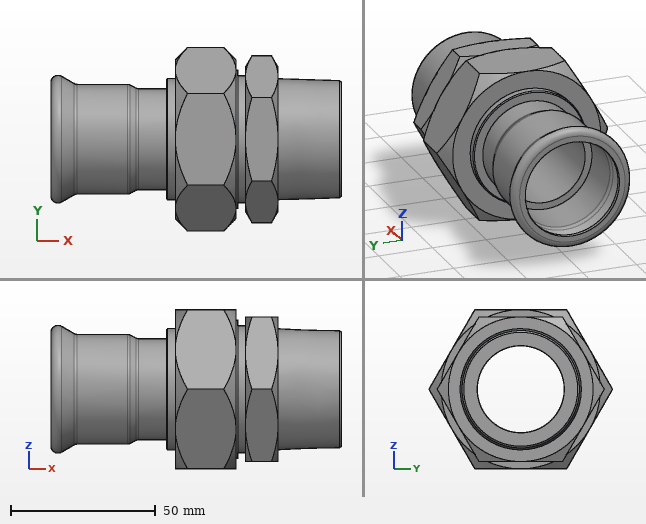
import cadquery as cq
import math


collar_start = 40.0
nut_start = 43.0
nut_length = 21.0
nut_end = nut_start + nut_length
seat_end = 64.6
hex_start = 67.25
hex_length = 11.25
hex_end = hex_start + hex_length
total_length = 100.5

socket_bore = 35.0
wall = 1.5
socket_outer = socket_bore + 2 * wall
socket_depth = 26.0
bead_outer = 44.2
bead_radius = 2.5
bend_radius = 2.0
cone_angle = math.radians(30)
reducer_start = 26.45
reducer_angle = math.radians(27)

bore = 30.0
tube_outer = 35.0
collar_outer = 42.0
collar_chamfer = 0.4
seat_outer = 47.8
neck_outer = 44.0
fitting_hex_flats = 50.0
fitting_hex_chamfer_angle = math.radians(30)

taper = 1 / 16
male_outer = 41.9
male_chamfer = 0.8
male_chamfer_depth = 0.6

nut_flats = 55.0
nut_chamfer_angle = math.radians(45)
nut_lip = 4.0

toward_mouth = -math.pi / 2
toward_axis = math.pi


def arc_point(center, radius, angle):
    """Point on a circle in the X-radius plane; the angle is measured from the outward radial, toward +X."""
    return (center[0] + radius * math.sin(angle), center[1] + radius * math.cos(angle))


def revolve_about_x(profile):
    return profile.close().revolve(360, (0, 0, 0), (1, 0, 0))


def cylinder(start, end, diameter):
    return cq.Workplane("YZ").workplane(offset=start).circle(diameter / 2).extrude(end - start)


def chamfered_hex(start, length, flats, chamfer_angle):
    """Hexagon with flats facing +-Z, its corners cut at both ends by cones that start at the flats' circle."""
    corner_radius = flats / math.sqrt(3)
    flat_radius = flats / 2
    cut_length = (corner_radius - flat_radius) * math.tan(chamfer_angle)
    end = start + length
    prism = cq.Workplane("YZ").workplane(offset=start).polygon(6, 2 * corner_radius).extrude(length)
    envelope = revolve_about_x(
        cq.Workplane("XY")
        .moveTo(start, 0)
        .lineTo(start, flat_radius)
        .lineTo(start + cut_length, corner_radius)
        .lineTo(end - cut_length, corner_radius)
        .lineTo(end, flat_radius)
        .lineTo(end, 0)
    )
    return prism.intersect(envelope)


bead_center = (bead_radius, bead_outer / 2 - bead_radius)
bead_end = arc_point(bead_center, bead_radius, cone_angle)
bend_center_height = socket_outer / 2 + bend_radius
cone_drop = bead_end[1] - (bend_center_height - bend_radius * math.cos(cone_angle))
bend_center = (
    bead_end[0] + cone_drop / math.tan(cone_angle) + bend_radius * math.sin(cone_angle),
    bend_center_height,
)

convex_center = (reducer_start, socket_outer / 2 - bend_radius)
convex_end = arc_point(convex_center, bend_radius, reducer_angle)
concave_center_height = tube_outer / 2 + bend_radius
reducer_drop = convex_end[1] - (concave_center_height - bend_radius * math.cos(reducer_angle))
concave_center = (
    convex_end[0] + reducer_drop / math.tan(reducer_angle) + bend_radius * math.sin(reducer_angle),
    concave_center_height,
)


def add_arc(profile, center, radius, start_angle, end_angle):
    """Continue the profile with a line to the arc's start, then the arc itself."""
    middle_angle = (start_angle + end_angle) / 2
    return profile.lineTo(*arc_point(center, radius, start_angle)).threePointArc(
        arc_point(center, radius, middle_angle),
        arc_point(center, radius, end_angle),
    )


def press_end_outside():
    profile = cq.Workplane("XY").moveTo(0, 0)
    profile = add_arc(profile, bead_center, bead_radius, toward_mouth, cone_angle)
    profile = add_arc(profile, bend_center, bend_radius, toward_axis + cone_angle, toward_axis)
    profile = add_arc(profile, convex_center, bend_radius, 0, reducer_angle)
    profile = add_arc(profile, concave_center, bend_radius, toward_axis + reducer_angle, toward_axis)
    profile = profile.lineTo(collar_start, tube_outer / 2).lineTo(collar_start, 0)
    return revolve_about_x(profile)


def press_end_inside():
    """Socket with a seal groove that follows the bead at constant wall thickness, ending at a flat tube stop."""
    groove_radius = bead_radius - wall
    inner_bend_radius = bend_radius + wall
    profile = cq.Workplane("XY").moveTo(0, 0).lineTo(0, socket_bore / 2).lineTo(wall, socket_bore / 2)
    profile = add_arc(profile, bead_center, groove_radius, toward_mouth, cone_angle)
    profile = add_arc(profile, bend_center, inner_bend_radius, toward_axis + cone_angle, toward_axis)
    profile = profile.lineTo(socket_depth, socket_bore / 2).lineTo(socket_depth, 0)
    return revolve_about_x(profile)


def male_end():
    tip_start = total_length - male_chamfer
    tip_radius = male_outer / 2 - (tip_start - hex_end) * taper / 2
    profile = (
        cq.Workplane("XY")
        .moveTo(hex_end, 0)
        .lineTo(hex_end, male_outer / 2)
        .lineTo(tip_start, tip_radius)
        .lineTo(total_length, tip_radius - male_chamfer_depth)
        .lineTo(total_length, 0)
    )
    return revolve_about_x(profile)


def make_fitting():
    seat_start = nut_start + nut_lip
    collar = cylinder(collar_start, seat_start, collar_outer).faces("<X").chamfer(collar_chamfer)
    return (
        press_end_outside()
        .union(collar)
        .union(cylinder(seat_start, seat_end, seat_outer))
        .union(cylinder(seat_end, hex_start, neck_outer))
        .union(chamfered_hex(hex_start, hex_length, fitting_hex_flats, fitting_hex_chamfer_angle))
        .union(male_end())
        .cut(press_end_inside())
        .cut(cylinder(0, total_length, bore))
    )


def make_nut():
    """Union nut whose lip sits behind the fitting's seat and closes on its collar."""
    return (
        chamfered_hex(nut_start, nut_length, nut_flats, nut_chamfer_angle)
        .cut(cylinder(nut_start, nut_end, collar_outer))
        .cut(cylinder(nut_start + nut_lip, nut_end, seat_outer))
    )


fitting = make_fitting()
union_nut = make_nut()

result = cq.Compound.makeCompound([fitting.val(), union_nut.val()])